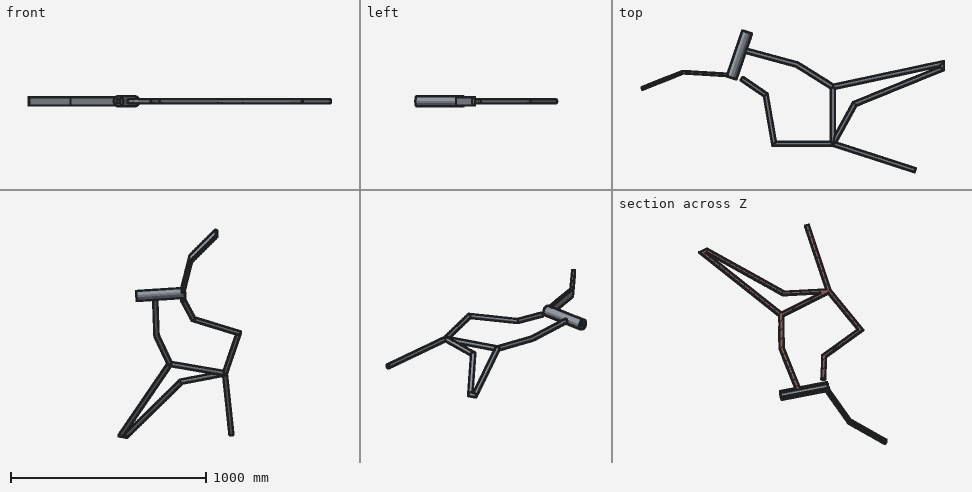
import cadquery as cq
import math

lower_tube_diameter = 22.0
upper_tube_diameter = 23.0
head_diameter = 53.0
head_bore_diameter = 22.0
plate_width = 43.0
plate_thickness = 14.0

lower_junction = (0, 0)
upper_junction = (0, 290.0)
tail_x = 558.0
tail_top = (tail_x, 409.0)
tail_bottom = (tail_x, 385.0)

upper_path = [(-446.0, 475.0), (-183.0, 405.0), upper_junction, tail_top, tail_bottom, (112.0, 203.0), lower_junction]
lower_path = [(-466.0, 333.0), (-344.0, 250.0), (-300.0, 0), lower_junction, (421.0, -136.0)]
seat_path = [lower_junction, upper_junction]

head_bottom = (-519.0, 336.0)
head_top = (-439.0, 572.0)
plate_path = [(-978.0, 282.0), (-767.0, 365.0), (-538.0, 352.0)]


def start_plane(points):
    """Plane at the first point, facing along the first stretch, with its local Y along Z."""
    (x0, y0), (x1, y1) = points[:2]
    direction = cq.Vector(x1 - x0, y1 - y0, 0)
    return cq.Plane(origin=(x0, y0, 0), xDir=(y1 - y0, x0 - x1, 0), normal=direction)


def sweep_along(profile, points):
    """Sweep a profile along straight stretches with mitred corners."""
    path = cq.Workplane("XY").polyline(points)
    return profile.sweep(path, transition="right")


def round_tube(points, diameter):
    profile = cq.Workplane(start_plane(points)).circle(diameter / 2)
    return sweep_along(profile, points)


def bent_plate(points):
    profile = cq.Workplane(start_plane(points)).rect(plate_thickness, plate_width)
    return sweep_along(profile, points)


def head_cylinder(diameter):
    length = math.dist(head_bottom, head_top)
    return cq.Workplane(start_plane([head_bottom, head_top])).circle(diameter / 2).extrude(length)


result = (
    round_tube(upper_path, upper_tube_diameter)
    .union(round_tube(lower_path, lower_tube_diameter))
    .union(round_tube(seat_path, upper_tube_diameter))
    .union(head_cylinder(head_diameter))
    .union(bent_plate(plate_path))
    .cut(head_cylinder(head_bore_diameter))
)